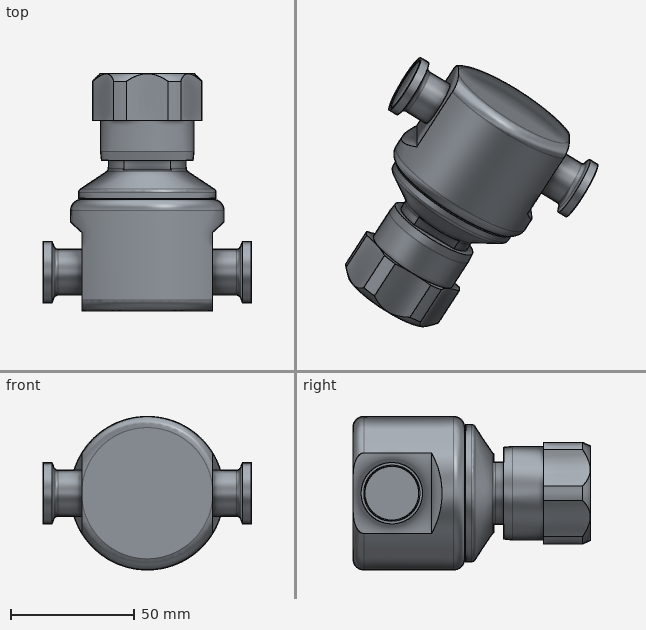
import cadquery as cq
import math


total_length = 96.4
body_length = 45.3
gap_length = 0.4
disc_length = 3.3
cone_end = 57.0
collar_start = 61.1
nut_start = 77.2
disc_start = body_length + gap_length
cone_start = disc_start + disc_length

body_radius = 31.1
body_fillet = 4.5
flat_offset = 26.5
flat_end = 31.9
flat_runout = 4.2

gap_radius = 25.35
disc_radius = 27.9
neck_radius = 15.8
bonnet_fillet = 1.5
neck_flat_offset = 12.6
neck_flat_start = 57.2

collar_radius = 19.0
collar_taper_length = 3.7
collar_taper_drop = 0.4

nut_radius = 22.3
nut_chamfer = 3.3
flute_count = 6
flute_radius = 26.2
flute_floor = 19.2

port_y = 15.8
port_face = 42.2
tube_radius = 9.35
ferrule_radius = 12.4
ferrule_rim = 3.7
ferrule_back_angle = 20.0
ferrule_fillet = 1.7
recess_radius = 11.4
recess_floor_radius = 10.9
recess_depth = 0.4

station_tolerance = 0.05


def revolve_about_y(points):
    """Solid of revolution about Y from (radius, y) points."""
    return cq.Workplane("XY").polyline(points).close().revolve(360, (0, 0, 0), (0, 1, 0))


def revolve_about_x(points):
    """Solid of revolution about X from (x, radius) points."""
    return cq.Workplane("XY").polyline(points).close().revolve(360, (0, 0, 0), (1, 0, 0))


def cylinder_along_y(radius, start, end):
    """Cylinder on the valve axis between two Y stations."""
    return cq.Workplane("XZ", origin=(0, start, 0)).circle(radius).extrude(start - end)


def edges_at_station(axis_index, station):
    """Selector for the edges centred at one station along X (index 0) or Y (index 1)."""
    low = [-total_length] * 3
    high = [total_length] * 3
    low[axis_index] = station - station_tolerance
    high[axis_index] = station + station_tolerance
    return cq.selectors.BoxSelector(tuple(low), tuple(high))


def make_body():
    """Drum with rounded ends and a port flat on the -X and +X sides."""
    body = cylinder_along_y(body_radius, 0, body_length).edges("%CIRCLE").fillet(body_fillet)
    for side in (-1, 1):
        outline = [
            (side * flat_offset, 0),
            (side * flat_offset, flat_end),
            (side * body_radius, flat_end + flat_runout),
            (side * body_radius, 0),
        ]
        cutter = cq.Workplane("XY").polyline(outline).close().extrude(body_radius, both=True)
        body = body.cut(cutter)
    return body


def make_bonnet():
    """Recessed gap, disc, cone and neck, with wrench flats on the neck."""
    bonnet = revolve_about_y([
        (0, body_length),
        (gap_radius, body_length),
        (gap_radius, disc_start),
        (disc_radius, disc_start),
        (disc_radius, cone_start),
        (neck_radius, cone_end),
        (neck_radius, collar_start),
        (0, collar_start),
    ])
    for station in (cone_start, cone_end):
        bonnet = bonnet.edges(edges_at_station(1, station)).fillet(bonnet_fillet)
    for side in (-1, 1):
        cutter = cq.Workplane("XY").box(
            2 * disc_radius, collar_start - neck_flat_start, disc_radius, centered=(True, False, True)
        )
        cutter = cutter.translate((0, neck_flat_start, side * (neck_flat_offset + disc_radius / 2)))
        bonnet = bonnet.cut(cutter)
    return bonnet


def make_collar():
    """Collar whose end nearest the neck tapers slightly."""
    return revolve_about_y([
        (0, collar_start),
        (collar_radius - collar_taper_drop, collar_start),
        (collar_radius, collar_start + collar_taper_length),
        (collar_radius, nut_start),
        (0, nut_start),
    ])


def make_nut():
    """Chamfered round nut with hollow flutes, one of them facing +Z."""
    nut = cylinder_along_y(nut_radius, nut_start, total_length).edges(">Y").chamfer(nut_chamfer)
    flute_distance = flute_floor + flute_radius
    flute = cylinder_along_y(flute_radius, nut_start, total_length).translate((0, 0, flute_distance))
    for index in range(flute_count):
        nut = nut.cut(flute.rotate((0, 0, 0), (0, 1, 0), index * 360 / flute_count))
    return nut


def make_port():
    """Tube and clamp ferrule on the +X side, with a shallow recess in the ferrule face."""
    rim_start = port_face - ferrule_rim
    back_length = (ferrule_radius - tube_radius) * math.tan(math.radians(ferrule_back_angle))
    back_start = rim_start - back_length
    port = revolve_about_x([
        (0, 0),
        (0, tube_radius),
        (back_start, tube_radius),
        (rim_start, ferrule_radius),
        (port_face, ferrule_radius),
        (port_face, recess_radius),
        (port_face - recess_depth, recess_floor_radius),
        (port_face - recess_depth, 0),
    ])
    port = port.edges(edges_at_station(0, back_start)).fillet(ferrule_fillet)
    return port.translate((0, port_y, 0))


port = make_port()
result = (
    make_body()
    .union(make_bonnet())
    .union(make_collar())
    .union(make_nut())
    .union(port)
    .union(port.mirror("YZ"))
)